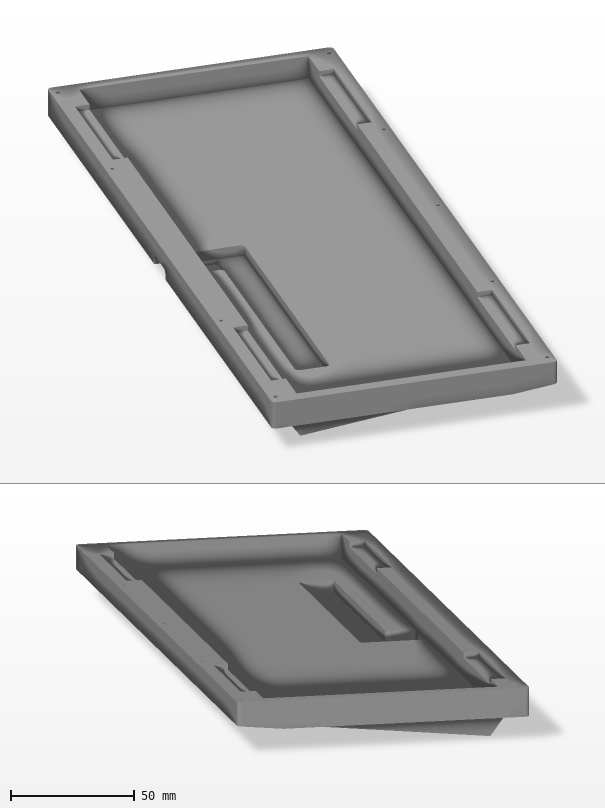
import cadquery as cq
import math

length = 298.0
width = 121.5
plate_height = 12.0
total_height = 21.2
corner_radius = 1.8

tilt_angle = 6.0
wedge_length = 281.2
wedge_bottom_y = -46.2
wedge_front_y = -53.0

cavity_length = 287.8
cavity_width = 97.7
cavity_depth = 10.0
step_length = 50.3
step_reach = 6.3
step_depth = 2.5
step_x = 104.5

pocket_depth = 4.8
pocket_radius = 1.8
board_bay_width = 18.5
pocket_right_x = 105.2
pocket_back_y = -22.0
cable_bay_width = 14.5

mount_length = 13.5
mount_width = 12.5
mount_center_y = -40.2
mount_recess_depth = 1.0
mount_hole_diameter = 1.8
mount_hole_depth = 3.0

screw_diameter = 1.8
corner_screw_x = 144.0
screw_row_y = 57.8
blind_screw_diameter = 1.6
blind_screw_depth = 9.0

port_length = 14.0
port_height = 8.0
port_radius = 1.8
port_depth = 11.3
port_center_z = -0.3
port_rim_radius = 0.5
slot_length = 8.3
slot_height = 3.0

wedge_bottom_z = plate_height - total_height
back_y = width / 2
front_y = -width / 2
cavity_floor_z = plate_height - cavity_depth
rim_screw_x = corner_screw_x / 2
pocket_floor_z = cavity_floor_z - pocket_depth
cavity_front_y = -cavity_width / 2


def box(size_x, size_y, bottom_z, top_z, center_x=0.0, center_y=0.0):
    """Upright block between two heights."""
    height = top_z - bottom_z
    return (
        cq.Workplane("XY", origin=(center_x, center_y, bottom_z))
        .rect(size_x, size_y)
        .extrude(height)
    )


def holes(points, diameter, top_z, depth):
    """Vertical holes drilled down from top_z."""
    return (
        cq.Workplane("XY", origin=(0, 0, top_z))
        .pushPoints(points)
        .circle(diameter / 2)
        .extrude(-depth)
    )


def case_body():
    """Plate and wedge, both ended below by the tilted bottom plane."""
    back_bottom_z = wedge_bottom_z + (back_y - wedge_bottom_y) * math.tan(math.radians(tilt_angle))
    side_outline = [
        (front_y, plate_height),
        (front_y, 0),
        (wedge_front_y, 0),
        (wedge_bottom_y, wedge_bottom_z),
        (back_y, back_bottom_z),
        (back_y, plate_height),
    ]
    side_prism = cq.Workplane("YZ").polyline(side_outline).close().extrude(length / 2, both=True)
    plate = box(length, width, 0, plate_height).edges("|Z").fillet(corner_radius)
    wedge = box(wedge_length, width - 2 * corner_radius, wedge_bottom_z, plate_height / 2)
    return plate.union(wedge).intersect(side_prism)


def cavity():
    """Main cavity with a shallow step near each end of both long walls."""
    cut = box(cavity_length, cavity_width, cavity_floor_z, plate_height)
    for x in (-step_x, step_x):
        step = box(step_length, cavity_width + 2 * step_reach, plate_height - step_depth, plate_height, x)
        cut = cut.union(step)
    return cut


def electronics_pocket():
    """Board bay against the front wall, with a cable bay running off to +X."""
    left_x = -board_bay_width / 2
    bay_right_x = board_bay_width / 2
    cable_front_y = pocket_back_y - cable_bay_width
    outline = [
        (left_x, cavity_front_y),
        (bay_right_x, cavity_front_y),
        (bay_right_x, cable_front_y),
        (pocket_right_x, cable_front_y),
        (pocket_right_x, pocket_back_y),
        (left_x, pocket_back_y),
    ]
    return (
        cq.Workplane("XY", origin=(0, 0, pocket_floor_z))
        .polyline(outline)
        .close()
        .extrude(pocket_depth)
        .edges("|Z")
        .fillet(pocket_radius)
    )


def board_mount():
    """Shallow recess with a blind hole on each corner."""
    recess_floor_z = pocket_floor_z - mount_recess_depth
    recess = box(mount_length, mount_width, recess_floor_z, pocket_floor_z, 0, mount_center_y)
    points = [
        (sx * mount_length / 2, mount_center_y + sy * mount_width / 2)
        for sx in (-1, 1)
        for sy in (-1, 1)
    ]
    return recess.union(holes(points, mount_hole_diameter, pocket_floor_z, mount_hole_depth))


def screw_holes():
    """Through holes in the corners and blind holes along the long rims."""
    corners = [(sx * corner_screw_x, sy * screw_row_y) for sx in (-1, 1) for sy in (-1, 1)]
    rim = [(sx * rim_screw_x, sy * screw_row_y) for sx in (-1, 1) for sy in (-1, 1)]
    rim.append((0, screw_row_y))
    through = holes(corners, screw_diameter, plate_height, plate_height)
    return through.union(holes(rim, blind_screw_diameter, plate_height, blind_screw_depth))


def port_block(size_x, size_z, depth):
    """Block reaching back from the front face, centred on the cable port."""
    front = cq.Workplane("XZ", origin=(0, front_y, port_center_z))
    return front.rect(size_x, size_z).extrude(-depth)


def cut_cable_port(body):
    """Recess with a rounded rim across the plate front and the wedge front."""
    recess = port_block(port_length, port_height, port_depth).edges("|Y").fillet(port_radius)
    margin = 0.15
    half_length = port_length / 2 + margin
    half_height = port_height / 2 + margin
    rim_zone = cq.selectors.BoxSelector(
        (-half_length, front_y - margin, port_center_z - half_height),
        (half_length, front_y + port_depth - margin, port_center_z + half_height),
    )
    return body.cut(recess).edges(rim_zone).edges("not |Y").fillet(port_rim_radius)


def cable_slot():
    """Slot from the port recess into the board bay."""
    return port_block(slot_length, slot_height, cavity_front_y - front_y + pocket_radius)


result = (
    cut_cable_port(case_body())
    .cut(cavity())
    .cut(electronics_pocket())
    .cut(board_mount())
    .cut(screw_holes())
    .cut(cable_slot())
)